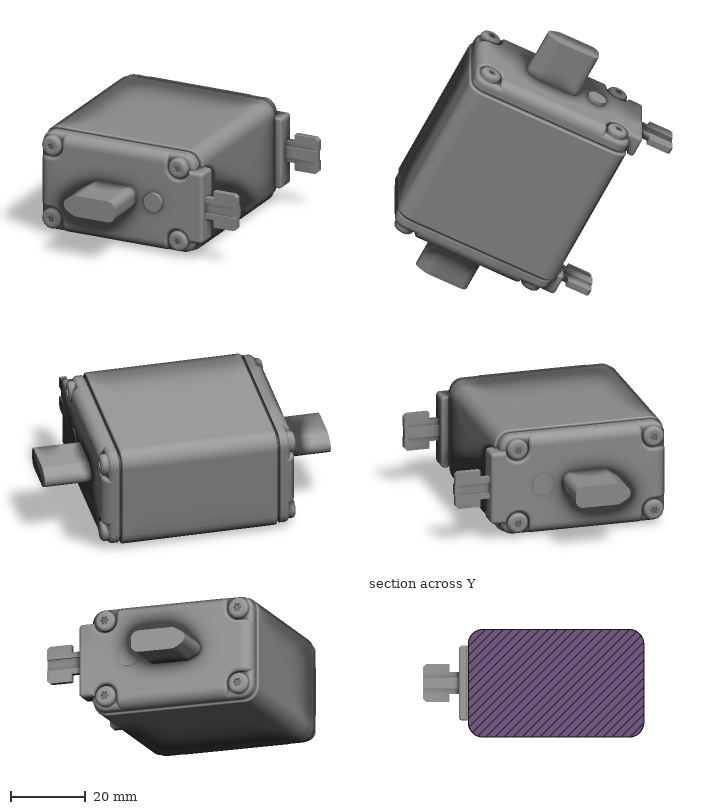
import cadquery as cq
import math

TOLERANCE = 0.001


body_width = 47.1
body_height = 29.0
corner_radius = 4.1
body_depth = 21.35
body_edge_round = 0.5
neck_inset = 1.6

plate_inset = 0.5
plate_right_inset = 0.7
plate_back = 22.1
plate_front = 26.45
plate_round = 2.9
plate_left = -body_width / 2 + plate_inset
plate_right = body_width / 2 - plate_right_inset
plate_half_height = body_height / 2 - plate_inset
plate_corner_radius = corner_radius - plate_inset

screw_x_left = -body_width / 2 + corner_radius
screw_x_right = 18.45
screw_z = body_height / 2 - corner_radius
pocket_radius = 3.2
pocket_edge_round = 0.95
pocket_floor = 24.9
floor_edge_round = pocket_floor - (plate_front - plate_round)
head_radius = 2.8
head_top = 26.7
head_round = 1.0
socket_core_radius = 0.9
socket_lobe_radius = 0.3
socket_depth = 0.8
socket_lobes = 6

lug_right = 25.9
lug_half_height = 10.05
web_overlap = 0.95
web_right = 23.55
hook_left = 23.9
hook_back = 20.5
hook_round = 0.55

grip_end = 35.5
grip_outer = 24.95
grip_thickness = 1.7
grip_stem_half = 3.0
grip_head_left = 28.5
grip_head_half = 5.1
grip_corner = 0.8
channel_half = 1.5
channel_offset = 0.55

blade_end = 39.25
blade_half_thickness = 3.0
blade_nose_x = -9.1
blade_back_x = 6.2
blade_nose_radius = 2.0
blade_taper_angle = 30
blade_shoulder_radius = 2.5
blade_back_radius = 2.2

button_x = 11.6
button_radius = 2.6
button_front = 27.6
far_button_radius = 2.8
far_button_front = 26.7


def at_depth(depth):
    """Sketch plane facing -Y, at the given distance in front of the mid-plane."""
    return cq.Workplane("XZ", origin=(0, -depth, 0))


def block(x_range, z_range, depth_range):
    """Box between two X values, two Z values and two depths."""
    center = (sum(x_range) / 2, sum(z_range) / 2)
    size = (x_range[1] - x_range[0], z_range[1] - z_range[0])
    height = depth_range[1] - depth_range[0]
    return at_depth(depth_range[0]).center(*center).rect(*size).extrude(height)


def make_body():
    """Rounded box with softened end edges."""
    shell = block(
        (-body_width / 2, body_width / 2), (-body_height / 2, body_height / 2), (-body_depth, body_depth)
    )
    shell = shell.edges("|Y").fillet(corner_radius)
    return shell.faces("<Y or >Y").edges().fillet(body_edge_round)


def make_neck():
    """Narrower core that leaves a groove between body and end plate."""
    half_width = body_width / 2 - neck_inset
    half_height = body_height / 2 - neck_inset
    neck = block((-half_width, half_width), (-half_height, half_height), (0, plate_front - plate_round))
    return neck.edges("|Y").fillet(corner_radius - neck_inset)


def make_plate_base():
    """Low layer of the end plate, which forms the pocket floors."""
    base = block(
        (plate_left, plate_right), (-plate_half_height, plate_half_height), (plate_back, pocket_floor)
    )
    base = base.edges("|Y").fillet(plate_corner_radius)
    return base.faces("<Y").edges().fillet(floor_edge_round)


def make_pocket(screw_x, z_sign):
    """Round cutter about a screw, opened square towards the nearest plate corner."""
    depths = (0, head_top)
    far_z = z_sign * body_height
    screw_level = z_sign * screw_z
    inner_x = screw_x + math.copysign(pocket_radius, -screw_x)
    outer_x = math.copysign(body_width, screw_x)
    pocket = at_depth(0).center(screw_x, screw_level).circle(pocket_radius).extrude(depths[1])
    toward_edge = block(sorted((inner_x, outer_x)), sorted((screw_level, far_z)), depths)
    pocket = pocket.union(toward_edge)
    if screw_x < 0:
        side_z = screw_level - z_sign * pocket_radius
        pocket = pocket.union(block(sorted((screw_x, outer_x)), sorted((side_z, far_z)), depths))
    else:
        lug_z = z_sign * lug_half_height
        pocket = pocket.union(block((screw_x, outer_x), sorted((lug_z, far_z)), depths))
    return pocket.clean()


def make_plate_top():
    """Raised middle of the end plate, together with the side lug."""
    top = block(
        (plate_left, lug_right), (-plate_half_height, plate_half_height), (plate_back, plate_front)
    )
    top = top.faces("<Y").edges("<X or <Z or >Z").fillet(plate_round)
    for screw_x in (screw_x_left, screw_x_right):
        for z_sign in (-1, 1):
            top = top.cut(make_pocket(screw_x, z_sign))
    round_start_z = plate_half_height - plate_round
    round_start_x = plate_left + plate_round

    def is_sharp(edge):
        middle = edge.Center()
        on_z_round = abs(abs(middle.z) - round_start_z) < TOLERANCE
        on_x_round = abs(middle.x - round_start_x) < TOLERANCE
        return edge.geomType() != "LINE" or not (on_z_round or on_x_round)

    front_edges = top.faces("<Y").edges().filter(is_sharp)
    corner_edges = top.faces(">X").edges("|Y")
    return front_edges.add(corner_edges).fillet(pocket_edge_round)


def make_hook():
    """Bar along the lug's outer edge that reaches back, and the web beside it."""
    z_range = (-lug_half_height, lug_half_height)
    bar = block((hook_left, lug_right), z_range, (hook_back, plate_back + pocket_edge_round))
    bar = bar.edges(">X and |Y").fillet(pocket_edge_round)
    bar = bar.faces(">Y").edges().fillet(hook_round)
    web = block((plate_right - web_overlap, web_right), z_range, (body_depth, plate_back))
    return bar.union(web)


def make_screw(screw_x, screw_level):
    """Round-edged screw head with a six-lobed socket."""
    head_plane = at_depth(plate_back).center(screw_x, screw_level)
    head = head_plane.circle(head_radius).extrude(head_top - plate_back)
    head = head.faces("<Y").edges().fillet(head_round)
    socket_plane = at_depth(head_top - socket_depth).center(screw_x, screw_level)
    socket = socket_plane.circle(socket_core_radius).extrude(socket_depth)
    lobes = (
        socket_plane.polarArray(socket_core_radius, 0, 360, socket_lobes)
        .circle(socket_lobe_radius)
        .extrude(socket_depth)
    )
    return head.cut(socket).cut(lobes)


def make_grip():
    """Pull tee; its middle strip is pressed inwards, away from the end."""
    grip_inner = grip_outer - grip_thickness
    stem = block((web_right, grip_end), (-grip_stem_half, grip_stem_half), (grip_inner, grip_outer))
    head = block((grip_head_left, grip_end), (-grip_head_half, grip_head_half), (grip_inner, grip_outer))
    head = head.edges("|Y and >X").chamfer(grip_corner)
    channel = (-channel_half, channel_half)
    groove = block((lug_right, grip_end), channel, (grip_outer - channel_offset, grip_outer))
    rib = block((web_right, grip_end), channel, (grip_inner - channel_offset, grip_inner))
    return stem.union(head).cut(groove).union(rib)


def make_blade():
    """Flat contact with a tapered, rounded nose towards -X."""
    taper = math.radians(blade_taper_angle)
    nose_center_x = blade_nose_x + blade_nose_radius
    tip_x = nose_center_x - blade_nose_radius / math.sin(taper)
    shoulder_x = tip_x + blade_half_thickness / math.tan(taper)
    outline = [
        (tip_x, 0),
        (shoulder_x, blade_half_thickness),
        (blade_back_x, blade_half_thickness),
        (blade_back_x, -blade_half_thickness),
        (shoulder_x, -blade_half_thickness),
    ]
    blade = at_depth(0).polyline(outline).close().extrude(blade_end)
    blade = blade.edges("|Y and <X").fillet(blade_nose_radius)
    blade = blade.edges("|Y and >X").fillet(blade_back_radius)
    shoulders = blade.faces("<Z or >Z").edges("|Y").edges("<X")
    return shoulders.fillet(blade_shoulder_radius)


def make_button(radius, front):
    """Round indicator that stands proud of the end plate."""
    return at_depth(0).center(button_x, 0).circle(radius).extrude(front)


def make_end():
    """Everything on the -Y end except the indicator button, filled back to the mid-plane."""
    end = make_plate_base().union(make_plate_top()).union(make_neck()).union(make_hook())
    end = end.union(make_grip()).union(make_blade())
    for screw_x in (screw_x_left, screw_x_right):
        for screw_level in (-screw_z, screw_z):
            end = end.union(make_screw(screw_x, screw_level))
    return end


end = make_end()
near_button = make_button(button_radius, button_front)
far_button = make_button(far_button_radius, far_button_front).mirror("XZ")
result = make_body().union(end).union(end.mirror("XZ")).union(near_button).union(far_button)